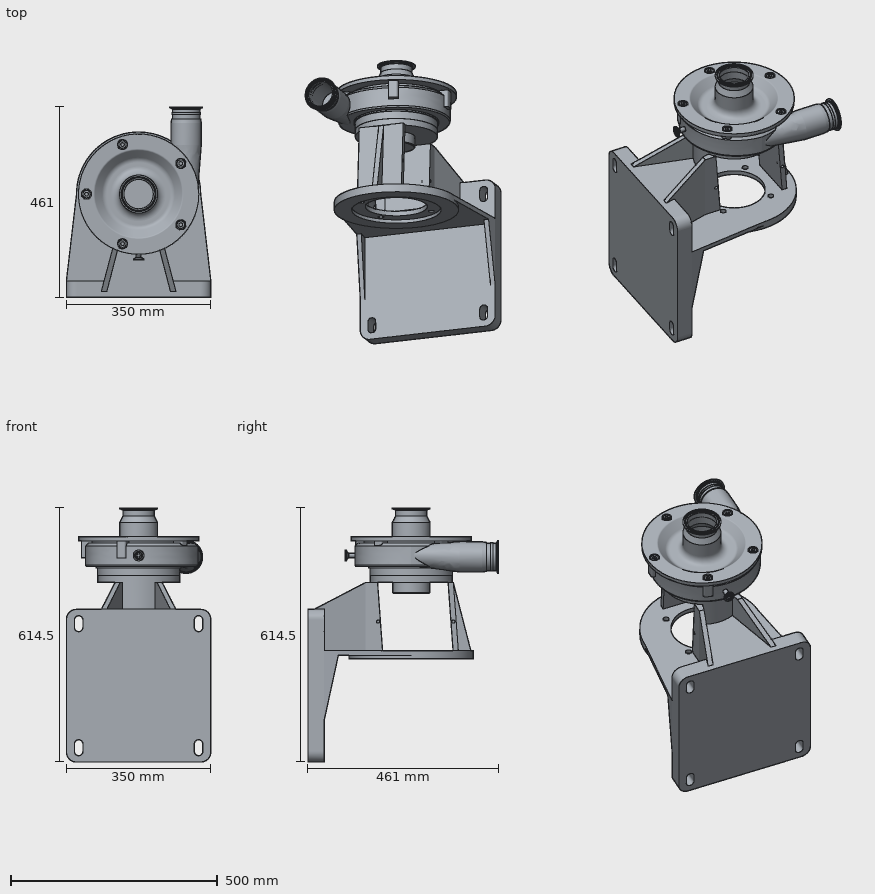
import cadquery as cq
import math


PLATE_WIDTH = 350.0
PLATE_HEIGHT = 370.0
PLATE_THICK = 40.0
PLATE_CORNER = 25.0
WALL_Y = -250.0
PLATE_FRONT_Y = WALL_Y + PLATE_THICK
SLOT_WIDTH = 20.0
SLOT_LENGTH = 38.0
SLOT_SPACING_X = 290.0
SLOT_SPACING_Z = 300.0

SHELF_Z = 270.0
SHELF_THICK = 11.5
SHELF_RADIUS = 150.5
SHELF_RING_THICK = 20.0
SHELF_BORE_RADIUS = 75.0
SPIGOT_RADIUS = 108.0
MOTOR_BOLT_CIRCLE = 92.5
MOTOR_HOLE_DIA = 14.0
MOTOR_HOLE_COUNT = 4
MOTOR_HOLE_START_ANGLE = 45.0
BRACE_THICK = 12.0
BRACE_REACH = 34.0
BRACE_FOOT_Z = 102.0

SEAT_Z = 435.0
SEAT_TOP_Z = 451.0
SEAT_RADIUS = 99.5
LEG_HEIGHT = SEAT_Z - SHELF_Z

LEG_HALF_WIDTH = 57.0
LEG_LEAN = 12.0
FRONT_LEG_INNER_Y = -81.0
REAR_LEG_INNER_Y = 89.0
REAR_LEG_THICK = 13.0
REAR_FIN_REACH = 144.5
GUSSET_THICK = 13.0
GUSSET_ANGLE = 14.5
GUSSET_START_Y = -110.0
GUSSET_TIP_Y = -235.0
GUSSET_TIP_X = 83.5
GUARD_HOLE_DIA = 7.5
GUARD_HOLE_DEPTH = 20.0
GUARD_HOLE_Z = 340.0
GUARD_HOLE_INSET = 6.0

SHAFT_RADIUS = 45.0
SHAFT_END_Z = 408.0
SHAFT_CHAMFER = 2.0

BACK_PLATE_RADIUS = 100.0
BACK_RIM_RADIUS = 103.0
BACK_RIM_HEIGHT = 3.5
VOLUTE_Z = 473.0
VOLUTE_TOP_Z = 530.0
VOLUTE_CHAMFER = 7.5
VOLUTE_FOOT_HEIGHT = 4.0
VOLUTE_FOOT_INSET = 2.0
VOLUTE_START_RADIUS = 121.0
VOLUTE_GROWTH = 7.6
SPIRAL_STEPS = 12
VOLUTE_QUARTERS = 3
VOLUTE_END_RADIUS = VOLUTE_START_RADIUS + VOLUTE_QUARTERS * VOLUTE_GROWTH
NECK_RADIUS = 114.0

COVER_RADIUS = 145.6
COVER_TOP_Z = 545.5
COVER_THICK = 10.0
COVER_Z = COVER_TOP_Z - COVER_THICK
DISH_DEPTH = 24.0
DISH_FLAT_RADIUS = 76.5
DISH_CORNER_WIDTH = 11.0
DISH_RIM_BLEND = 2.2
DISH_ROOT_BLEND = 20.0

SCREW_COUNT = 5
SCREW_CIRCLE = 126.0
SCREW_SEAT_DIA = 24.0
SCREW_SEAT_DEPTH = 8.0
SCREW_HEAD_DIA = 18.0
SCREW_HEAD_HEIGHT = 7.0
SOCKET_DIA = 10.0
SOCKET_DEPTH = 5.0
LUG_WIDTH = 24.0
LUG_OUTER_RADIUS = 138.5
LUG_INNER_RADIUS = 108.0
LUG_Z = 494.0
LUG_ROUNDING = 5.0

INLET_TOP_Z = 614.5
INLET_RADIUS = 46.0
INLET_NECK_RADIUS = 38.0
INLET_SHOULDER_Z = 580.0
INLET_NECK_Z = 595.5
INLET_BORE_RADIUS = 35.5
INLET_THROAT_Z = 577.0
INLET_CHAMBER_RADIUS = 42.0
INLET_CHAMBER_Z = 562.0

OUTLET_X = 115.0
OUTLET_Z = 496.5
OUTLET_END_Y = 211.0
OUTLET_RADIUS = 36.8
OUTLET_START_Y = 118.0
OUTLET_SHOULDER_Y = 172.0
OUTLET_STEP_Y = 182.0
OUTLET_STEP_RADIUS = 35.5
OUTLET_NECK_RADIUS = 33.5
OUTLET_BEAD_Y = 192.0
OUTLET_BEAD_WIDTH = 6.0
OUTLET_BEAD_HEIGHT = 1.0
OUTLET_FLANGE_RADIUS = 40.0
OUTLET_BORE_RADIUS = 31.0
DIFFUSER_START_RADIUS = 24.5
DIFFUSER_START_EDGE_X = 142.5

FLANGE_THICK = 4.0
FLANGE_TAPER = 3.5
GROOVE_WIDTH = 3.0
GROOVE_DEPTH = 1.5

DRAIN_Z = 500.0
DRAIN_END_Y = -160.0
DRAIN_ROOT_Y = -125.0
DRAIN_RADIUS = 6.0
DRAIN_BORE_RADIUS = 4.0
DRAIN_FLANGE_RADIUS = 13.0
DRAIN_FLANGE_THICK = 3.0
DRAIN_FLANGE_TAPER = 4.0
DRAIN_BORE_DEPTH = 10.0
DRAIN_GROOVE_RADIUS = 8.5
DRAIN_GROOVE_WIDTH = 2.5
DRAIN_GROOVE_DEPTH = 1.0


def cylinder(radius, z_low, z_high):
    """Cylinder on the pump axis."""
    return cq.Workplane("XY").workplane(offset=z_low).circle(radius).extrude(z_high - z_low)


def side_prism(points_yz, width):
    """Prism of a Y-Z outline, centred on X = 0."""
    return cq.Workplane("YZ").polyline(points_yz).close().extrude(width / 2, both=True)


def make_wall_plate():
    plate = (
        cq.Workplane("XZ", origin=(0, PLATE_FRONT_Y, PLATE_HEIGHT / 2))
        .rect(PLATE_WIDTH, PLATE_HEIGHT)
        .extrude(PLATE_THICK)
        .edges("|Y")
        .fillet(PLATE_CORNER)
    )
    slots = (
        cq.Workplane("XZ", origin=(0, PLATE_FRONT_Y, PLATE_HEIGHT / 2))
        .rect(SLOT_SPACING_X, SLOT_SPACING_Z, forConstruction=True)
        .vertices()
        .slot2D(SLOT_LENGTH, SLOT_WIDTH, 90)
        .extrude(PLATE_THICK)
    )
    return plate.cut(slots)


def shelf_outline(inset):
    """Shelf plan: half a disc widening straight to the wall plate, moved in by `inset`."""
    wall_half = PLATE_WIDTH / 2 - inset
    disc_radius = SHELF_RADIUS - inset
    return (
        cq.Workplane("XY")
        .moveTo(-wall_half, PLATE_FRONT_Y)
        .lineTo(-disc_radius, 0)
        .threePointArc((0, disc_radius), (disc_radius, 0))
        .lineTo(wall_half, PLATE_FRONT_Y)
        .close()
    )


def make_shelf():
    shelf = shelf_outline(0).extrude(SHELF_THICK).translate((0, 0, SHELF_Z - SHELF_THICK))
    ring = cylinder(SHELF_RADIUS, SHELF_Z - SHELF_RING_THICK, SHELF_Z)
    spigot = cylinder(SPIGOT_RADIUS, SHELF_Z - SHELF_RING_THICK, SHELF_Z - SHELF_THICK)
    bore = cylinder(SHELF_BORE_RADIUS, SHELF_Z - SHELF_RING_THICK, SHELF_Z)
    bolt_holes = (
        cq.Workplane("XY", origin=(0, 0, SHELF_Z))
        .polarArray(MOTOR_BOLT_CIRCLE, MOTOR_HOLE_START_ANGLE, 360, MOTOR_HOLE_COUNT)
        .circle(MOTOR_HOLE_DIA / 2)
        .extrude(-SHELF_RING_THICK)
    )
    return shelf.union(ring).cut(spigot).cut(bore).cut(bolt_holes)


def make_braces():
    """Two triangular side braces under the shelf, flush with its slanted sides."""
    walls = shelf_outline(0).extrude(SHELF_Z).cut(shelf_outline(BRACE_THICK).extrude(SHELF_Z))
    triangle = [
        (PLATE_FRONT_Y, BRACE_FOOT_Z),
        (PLATE_FRONT_Y, SHELF_Z - SHELF_THICK),
        (PLATE_FRONT_Y + BRACE_REACH, SHELF_Z - SHELF_THICK),
    ]
    return walls.intersect(side_prism(triangle, PLATE_WIDTH))


def gusset_plan():
    """Plan of the +X gusset: a slanted strip that grows into the corner of the front leg."""
    slope = math.tan(math.radians(GUSSET_ANGLE))
    half_width = GUSSET_THICK / 2 / math.cos(math.radians(GUSSET_ANGLE))

    def strip_x(y):
        return GUSSET_TIP_X + slope * (GUSSET_TIP_Y - y)

    return [
        (LEG_HALF_WIDTH, FRONT_LEG_INNER_Y + LEG_LEAN),
        (LEG_HALF_WIDTH, GUSSET_START_Y),
        (GUSSET_TIP_X + half_width, GUSSET_TIP_Y),
        (GUSSET_TIP_X - half_width, GUSSET_TIP_Y),
        (strip_x(FRONT_LEG_INNER_Y) - half_width, FRONT_LEG_INNER_Y),
        (strip_x(FRONT_LEG_INNER_Y) - half_width, FRONT_LEG_INNER_Y + LEG_LEAN),
    ]


def make_front_leg():
    curved_wall = cylinder(SEAT_RADIUS, SHELF_Z, SEAT_Z).intersect(
        cq.Workplane("XY", origin=(0, 0, SHELF_Z))
        .rect(2 * LEG_HALF_WIDTH, 2 * SEAT_RADIUS)
        .extrude(LEG_HEIGHT)
    )
    gusset = cq.Workplane("XY", origin=(0, 0, SHELF_Z)).polyline(gusset_plan()).close().extrude(LEG_HEIGHT)
    side_outline = [
        (FRONT_LEG_INNER_Y, SEAT_Z),
        (GUSSET_START_Y, SEAT_Z),
        (GUSSET_TIP_Y, PLATE_HEIGHT),
        (GUSSET_TIP_Y, SHELF_Z),
        (FRONT_LEG_INNER_Y + LEG_LEAN, SHELF_Z),
    ]
    leg = curved_wall.union(gusset).union(gusset.mirror("YZ"))
    return leg.intersect(side_prism(side_outline, PLATE_WIDTH))


def make_gusset_filling():
    """Block between the two gussets, level with the top of the wall plate."""
    inner_corners = gusset_plan()[3:5]
    mirrored = [(-x, y) for x, y in reversed(inner_corners)]
    return (
        cq.Workplane("XY", origin=(0, 0, SHELF_Z))
        .polyline(inner_corners + mirrored)
        .close()
        .extrude(PLATE_HEIGHT - SHELF_Z)
    )


def make_rear_leg():
    outer_y = REAR_LEG_INNER_Y + REAR_LEG_THICK
    wall = side_prism(
        [
            (REAR_LEG_INNER_Y, SEAT_Z),
            (outer_y, SEAT_Z),
            (outer_y + LEG_LEAN, SHELF_Z),
            (REAR_LEG_INNER_Y + LEG_LEAN, SHELF_Z),
        ],
        2 * LEG_HALF_WIDTH,
    )
    fin = side_prism(
        [(outer_y, SEAT_Z), (REAR_FIN_REACH, SHELF_Z), (outer_y, SHELF_Z)],
        GUSSET_THICK,
    )
    return wall.union(fin)


def make_guard_holes():
    """Blind holes for the coupling guard in the side faces of both legs."""
    lean = LEG_LEAN * (SEAT_Z - GUARD_HOLE_Z) / LEG_HEIGHT
    hole_ys = [
        FRONT_LEG_INNER_Y + lean - GUARD_HOLE_INSET,
        REAR_LEG_INNER_Y + lean + GUARD_HOLE_INSET,
    ]
    left_holes = (
        cq.Workplane("YZ", origin=(-LEG_HALF_WIDTH, 0, 0))
        .pushPoints([(y, GUARD_HOLE_Z) for y in hole_ys])
        .circle(GUARD_HOLE_DIA / 2)
        .extrude(GUARD_HOLE_DEPTH)
    )
    return left_holes.union(left_holes.mirror("YZ"))


def make_bracket():
    seat = cylinder(SEAT_RADIUS, SEAT_Z, SEAT_TOP_Z)
    legs = make_front_leg().union(make_gusset_filling()).union(make_rear_leg()).cut(make_guard_holes())
    return make_wall_plate().union(make_shelf()).union(make_braces()).union(legs).union(seat)


def make_shaft_end():
    shaft = cylinder(SHAFT_RADIUS, SHAFT_END_Z, SEAT_Z)
    return shaft.faces("<Z").chamfer(SHAFT_CHAMFER)


def spiral_outline(z, inset):
    """Closed volute plan that grows evenly from +Y round by -X and -Y to +X."""

    def spiral_point(turn):
        quarters = VOLUTE_QUARTERS * turn
        radius = VOLUTE_START_RADIUS + VOLUTE_GROWTH * quarters - inset
        angle = math.pi / 2 * (1 + quarters)
        return (radius * math.cos(angle), radius * math.sin(angle))

    closing_radius = (VOLUTE_START_RADIUS + VOLUTE_END_RADIUS) / 2 - inset
    closing_middle = closing_radius * math.sqrt(0.5)
    return (
        cq.Workplane("XY", origin=(0, 0, z))
        .spline([spiral_point(i / SPIRAL_STEPS) for i in range(SPIRAL_STEPS + 1)])
        .threePointArc((closing_middle, closing_middle), spiral_point(0))
        .close()
    )


def spiral_taper(low_z, low_inset, high_z, high_inset):
    """Layer of the volute whose slanted sides join two spiral outlines."""
    outlines = [spiral_outline(low_z, low_inset).val(), spiral_outline(high_z, high_inset).val()]
    return cq.Workplane(cq.Solid.makeLoft(outlines, True))


def make_volute():
    foot_top_z = VOLUTE_Z + VOLUTE_FOOT_HEIGHT
    shoulder_z = VOLUTE_TOP_Z - VOLUTE_CHAMFER
    foot = spiral_taper(VOLUTE_Z, VOLUTE_FOOT_INSET, foot_top_z, 0)
    casing = spiral_outline(foot_top_z, 0).extrude(shoulder_z - foot_top_z)
    shoulder = spiral_taper(shoulder_z, 0, VOLUTE_TOP_Z, VOLUTE_CHAMFER)
    back = cylinder(BACK_PLATE_RADIUS, SEAT_TOP_Z, VOLUTE_Z)
    back_rim = cylinder(BACK_RIM_RADIUS, VOLUTE_Z - BACK_RIM_HEIGHT, VOLUTE_Z)
    neck = cylinder(NECK_RADIUS, VOLUTE_TOP_Z, COVER_Z)
    return casing.union(foot).union(shoulder).union(back).union(back_rim).union(neck)


def make_dish():
    """Ring-shaped hollow of the cover: 45 degree flank, flat floor, rounded root at the nozzle."""
    floor_z = COVER_TOP_Z - DISH_DEPTH
    root_radius = INLET_RADIUS + DISH_ROOT_BLEND
    corner_radius = DISH_CORNER_WIDTH / math.sin(math.pi / 4)
    corner_top = (
        DISH_FLAT_RADIUS + DISH_CORNER_WIDTH,
        floor_z + corner_radius * (1 - math.cos(math.pi / 4)),
    )
    rim_radius = corner_top[0] + COVER_TOP_Z - corner_top[1]
    rim_leg = DISH_RIM_BLEND * math.sqrt(0.5)
    root_top_z = floor_z + DISH_ROOT_BLEND
    return (
        cq.Workplane("XZ")
        .moveTo(INLET_RADIUS, COVER_TOP_Z)
        .lineTo(INLET_RADIUS, root_top_z)
        .radiusArc((root_radius, floor_z), -DISH_ROOT_BLEND)
        .lineTo(DISH_FLAT_RADIUS, floor_z)
        .radiusArc(corner_top, -corner_radius)
        .lineTo(rim_radius - rim_leg, COVER_TOP_Z - rim_leg)
        .tangentArcPoint((rim_radius + DISH_RIM_BLEND, COVER_TOP_Z), relative=False)
        .close()
        .revolve(360, (0, 0, 0), (0, 1, 0))
    )


def at_screw(shape, index):
    """Move a feature built on the +X axis to one of the evenly spaced cover screws."""
    return shape.rotate((0, 0, 0), (0, 0, 1), 180 + index * 360 / SCREW_COUNT)


def make_lug():
    length = LUG_OUTER_RADIUS - LUG_INNER_RADIUS
    return (
        cq.Workplane("XY", origin=((LUG_OUTER_RADIUS + LUG_INNER_RADIUS) / 2, 0, LUG_Z))
        .rect(length, LUG_WIDTH)
        .extrude(COVER_Z - LUG_Z)
        .edges("|Z and >X")
        .fillet(LUG_ROUNDING)
    )


def make_screw_recess():
    """Ring-shaped clearance round a screw head, sunk in the cover, with the hexagon socket."""
    seat = cq.Workplane("XY", origin=(SCREW_CIRCLE, 0, COVER_TOP_Z - SCREW_SEAT_DEPTH))
    clearance = seat.circle(SCREW_SEAT_DIA / 2).extrude(SCREW_SEAT_DEPTH)
    head = seat.circle(SCREW_HEAD_DIA / 2).extrude(SCREW_HEAD_HEIGHT)
    socket = (
        seat.workplane(offset=SCREW_HEAD_HEIGHT)
        .polygon(6, SOCKET_DIA)
        .extrude(-SOCKET_DEPTH)
    )
    return clearance.cut(head).union(socket)


UPRIGHT = (0, -1, 0)
REARWARD = (0, 0, 1)


def turned(points, normal, origin):
    """Solid turned from (radius, height) points about the plane's local Y axis."""
    return (
        cq.Workplane(cq.Plane(origin=origin, xDir=(1, 0, 0), normal=normal))
        .polyline(points)
        .close()
        .revolve(360, (0, 0, 0), (0, 1, 0))
    )


def clamp_flange(flange_radius, neck_radius, end):
    """Points of a clamp flange with a tapered back, from the neck up to the end face."""
    return [
        (neck_radius, end - FLANGE_THICK - FLANGE_TAPER / 2),
        (neck_radius + FLANGE_TAPER / 2, end - FLANGE_THICK),
        (flange_radius, end - FLANGE_THICK / 2),
        (flange_radius, end),
        (0, end),
    ]


def make_nozzle_bore(bore_radius, flange_radius, start, end, normal, origin):
    """Bore of a nozzle together with the gasket groove in its end face."""
    groove_middle = (bore_radius + flange_radius) / 2
    bore = turned([(0, start), (bore_radius, start), (bore_radius, end), (0, end)], normal, origin)
    groove = turned(
        [
            (groove_middle - GROOVE_WIDTH / 2, end),
            (groove_middle, end - GROOVE_DEPTH),
            (groove_middle + GROOVE_WIDTH / 2, end),
        ],
        normal,
        origin,
    )
    return bore.union(groove)


def make_inlet():
    base_z = COVER_TOP_Z - DISH_DEPTH
    profile = [
        (0, base_z),
        (INLET_RADIUS, base_z),
        (INLET_RADIUS, INLET_SHOULDER_Z),
        (INLET_NECK_RADIUS, INLET_NECK_Z),
    ] + clamp_flange(INLET_RADIUS, INLET_NECK_RADIUS, INLET_TOP_Z)
    return turned(profile, UPRIGHT, (0, 0, 0))


def make_inlet_chamber():
    """Hollow below the inlet bore, widening from the throat to the chamber radius."""
    profile = [
        (0, COVER_TOP_Z - DISH_DEPTH),
        (INLET_CHAMBER_RADIUS, COVER_TOP_Z - DISH_DEPTH),
        (INLET_CHAMBER_RADIUS, INLET_CHAMBER_Z),
        (INLET_BORE_RADIUS, INLET_THROAT_Z),
        (0, INLET_THROAT_Z),
    ]
    return turned(profile, UPRIGHT, (0, 0, 0))


def make_outlet():
    bead_end_y = OUTLET_BEAD_Y + OUTLET_BEAD_WIDTH
    bead_radius = OUTLET_NECK_RADIUS + OUTLET_BEAD_HEIGHT
    profile = [
        (0, OUTLET_START_Y),
        (OUTLET_RADIUS, OUTLET_START_Y),
        (OUTLET_RADIUS, OUTLET_SHOULDER_Y),
        (OUTLET_STEP_RADIUS, OUTLET_STEP_Y),
        (OUTLET_NECK_RADIUS, OUTLET_STEP_Y),
        (OUTLET_NECK_RADIUS, OUTLET_BEAD_Y),
        (bead_radius, OUTLET_BEAD_Y),
        (bead_radius, bead_end_y),
        (OUTLET_NECK_RADIUS, bead_end_y),
    ] + clamp_flange(OUTLET_FLANGE_RADIUS, OUTLET_NECK_RADIUS, OUTLET_END_Y)
    pipe = turned(profile, REARWARD, (OUTLET_X, 0, OUTLET_Z))
    diffuser_shift = DIFFUSER_START_EDGE_X - DIFFUSER_START_RADIUS - OUTLET_X
    diffuser = (
        cq.Workplane("XZ", origin=(OUTLET_X, OUTLET_START_Y, OUTLET_Z))
        .circle(OUTLET_RADIUS)
        .workplane(offset=OUTLET_START_Y)
        .center(diffuser_shift, DRAIN_Z - OUTLET_Z)
        .circle(DIFFUSER_START_RADIUS)
        .loft()
    )
    return pipe.union(diffuser)


def make_drain():
    flange_y = DRAIN_END_Y + DRAIN_FLANGE_THICK
    profile = [
        (0, DRAIN_ROOT_Y),
        (DRAIN_RADIUS, DRAIN_ROOT_Y),
        (DRAIN_RADIUS, flange_y + DRAIN_FLANGE_TAPER),
        (DRAIN_FLANGE_RADIUS, flange_y),
        (DRAIN_FLANGE_RADIUS, DRAIN_END_Y),
        (DRAIN_GROOVE_RADIUS + DRAIN_GROOVE_WIDTH / 2, DRAIN_END_Y),
        (DRAIN_GROOVE_RADIUS, DRAIN_END_Y + DRAIN_GROOVE_DEPTH),
        (DRAIN_GROOVE_RADIUS - DRAIN_GROOVE_WIDTH / 2, DRAIN_END_Y),
        (DRAIN_BORE_RADIUS, DRAIN_END_Y),
        (DRAIN_BORE_RADIUS, DRAIN_END_Y + DRAIN_BORE_DEPTH),
        (0, DRAIN_END_Y + DRAIN_BORE_DEPTH),
    ]
    return turned(profile, REARWARD, (0, 0, DRAIN_Z))


def make_pump():
    pump = make_volute().union(make_outlet())
    for index in range(SCREW_COUNT):
        pump = pump.union(at_screw(make_lug(), index))
    pump = pump.union(cylinder(COVER_RADIUS, COVER_Z, COVER_TOP_Z))
    pump = pump.cut(make_dish())
    for index in range(SCREW_COUNT):
        pump = pump.cut(at_screw(make_screw_recess(), index))
    pump = pump.union(make_inlet()).union(make_drain())
    inlet_bore = make_nozzle_bore(
        INLET_BORE_RADIUS, INLET_RADIUS, INLET_THROAT_Z, INLET_TOP_Z, UPRIGHT, (0, 0, 0)
    )
    outlet_bore = make_nozzle_bore(
        OUTLET_BORE_RADIUS,
        OUTLET_FLANGE_RADIUS,
        OUTLET_START_Y,
        OUTLET_END_Y,
        REARWARD,
        (OUTLET_X, 0, OUTLET_Z),
    )
    return pump.cut(inlet_bore).cut(make_inlet_chamber()).cut(outlet_bore)


result = make_bracket().union(make_shaft_end()).union(make_pump())